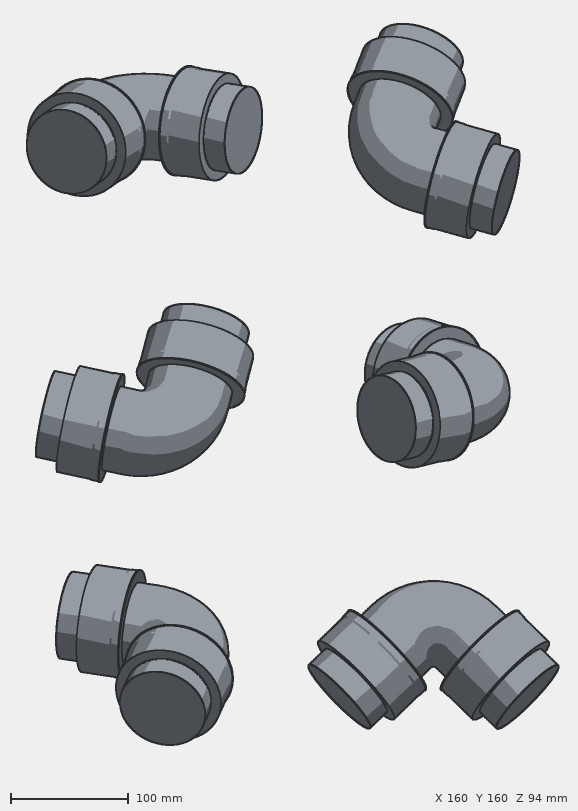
import cadquery as cq

port_reach = 113.0

elbow_radius = 36.5
bend_radius = 39.4

pipe_radius = 37.5
cap_thickness = 0.5
pipe_projection = 20.2

body_radius = 46.0
collar_radius = 46.5
rim_radius = 47.0
rim_width = 1.0
collar_width = 6.0
taper_length = 1.8
coupling_length = 37.5

cap_start = port_reach - cap_thickness
coupling_end = port_reach - pipe_projection
coupling_start = coupling_end - coupling_length
rim_end = coupling_start + rim_width
collar_end = rim_end + collar_width
taper_end = collar_end + taper_length


def make_cylinder(radius, start, end):
    """Cylinder along +X between two distances from the origin."""
    return cq.Workplane("YZ").workplane(offset=start).circle(radius).extrude(end - start)


def make_coupling():
    """Ring on the +X axis: thin rim, collar, short cone, then the plain body."""
    half_section = (
        cq.Workplane("XY")
        .moveTo(coupling_start, elbow_radius)
        .lineTo(coupling_start, rim_radius)
        .lineTo(rim_end, rim_radius)
        .lineTo(rim_end, collar_radius)
        .lineTo(collar_end, collar_radius)
        .lineTo(taper_end, body_radius)
        .lineTo(coupling_end, body_radius)
        .lineTo(coupling_end, elbow_radius)
        .close()
    )
    return half_section.revolve(360, (0, 0, 0), (1, 0, 0))


def make_pipe():
    """Stub butting against the outer face of the coupling."""
    return make_cylinder(pipe_radius, coupling_end, cap_start)


def make_cap():
    """Thin disc closing the outer end of the pipe stub."""
    return make_cylinder(pipe_radius, cap_start, port_reach)


def make_elbow():
    """Quarter bend with two straight arms that pass through the couplings."""
    bend = (
        cq.Workplane("XZ", origin=(0, -bend_radius, 0))
        .circle(elbow_radius)
        .revolve(90, (bend_radius, 0, 0), (bend_radius, -1, 0))
    )
    arm_x = make_cylinder(elbow_radius, bend_radius, coupling_end)
    arm_y = arm_x.rotate((0, 0, 0), (0, 0, 1), -90)
    return bend.union(arm_x).union(arm_y)


elbow = make_elbow()
bodies = [elbow.solids().val()]

for port_angle in (0, -90):
    for port_body in (make_coupling(), make_pipe(), make_cap()):
        placed_body = port_body.rotate((0, 0, 0), (0, 0, 1), port_angle)
        bodies.append(placed_body.val())

result = cq.Compound.makeCompound(bodies)